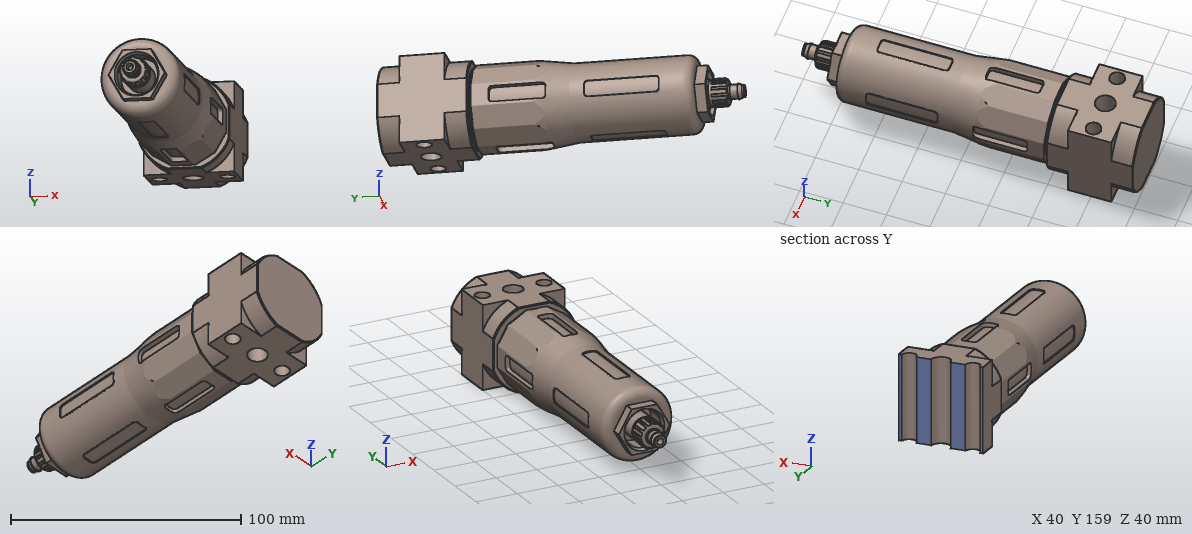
import cadquery as cq
import math


head_width = 40.0
head_length = 40.0
head_diameter = 43.0
head_edge_chamfer = 0.5
arm_width = 20.0
arm_center = 20.0
port_diameter = 9.0
mount_hole_diameter = 6.8
mount_hole_spacing = 30.2

shoulder_diameter = 36.0
shoulder_length = 0.5
neck_diameter = 34.7

grip_start = 41.5
grip_across_flats = 37.8
grip_diameter = 39.1
grip_side_count = 12
taper_start = 68.8
taper_end = 84.7
bowl_diameter = 34.7
bowl_end = 139.1
bowl_end_fillet = 4.1

window_width = 7.3
window_corner_radius = 1.6
window_floor_diameter = 33.5
upper_window_start = 49.3
upper_window_end = 74.4
lower_window_start = 91.3
lower_window_end = 124.3
window_count = 4

hexagon_across_flats = 21.6
hexagon_end = 143.9
recess_mouth_diameter = 19.5
recess_diameter = 18.0
recess_mouth_length = 1.9
recess_depth = 11.1

drain_base_diameter = 12.2
drain_neck_diameter = 11.1
knob_start = 145.3
knob_end = 152.2
knob_diameter = 12.5
knob_end_fillet = 1.7
rib_count = 12
rib_width = 1.1
collar_diameter = 7.2
collar_end = 153.0
stem_diameter = 6.4
barb_start = 156.3
barb_diameter = 7.2
barb_end = 158.2
tip_diameter = 5.5
drain_end = 159.0
drain_bore_diameter = 3.0
drain_bore_depth = 4.8


def revolve_about_y(profile):
    """Revolve (radius, distance from the rear face) points about the Y axis."""
    points = [(radius, -distance) for radius, distance in profile]
    return cq.Workplane("XY").polyline(points).close().revolve(360, (0, 0, 0), (0, 1, 0))


def cylinder(diameter, start, end):
    radius = diameter / 2
    return revolve_about_y([(0, start), (radius, start), (radius, end), (0, end)])


def turned_about_y(shape, angle):
    return shape.rotate((0, 0, 0), (0, 1, 0), angle)


def prism(side_count, across_flats, start, end):
    """A regular prism along Y with flats facing +Z and -Z."""
    corner_diameter = across_flats / math.cos(math.pi / side_count)
    blank = cq.Workplane("XZ", origin=(0, -start, 0)).polygon(side_count, corner_diameter).extrude(end - start)
    flat_angle = 90 - 180 / side_count if side_count % 4 == 0 else 0
    return turned_about_y(blank, flat_angle)


def make_head():
    center = (0, -arm_center, 0)
    drum = cylinder(head_diameter, 0, head_length)
    envelope = cq.Workplane("XY").box(head_width, head_length, head_width)
    drum = drum.intersect(envelope.translate((0, -head_length / 2, 0)))
    drum = drum.faces("<Y or >Y").chamfer(head_edge_chamfer)
    arms = cq.Workplane("XY").box(head_width, arm_width, head_width).translate(center)
    return drum.union(arms)


def drill_head(body):
    through = head_width
    face = cq.Workplane("XY", origin=(0, -arm_center, -through / 2))
    port = face.circle(port_diameter / 2).extrude(through)
    mounts = face.pushPoints([(-mount_hole_spacing / 2, 0), (mount_hole_spacing / 2, 0)])
    return body.cut(port).cut(mounts.circle(mount_hole_diameter / 2).extrude(through))


def make_bowl():
    bowl_radius = bowl_diameter / 2
    grip_radius = grip_diameter / 2
    blank = revolve_about_y([
        (0, grip_start),
        (grip_radius, grip_start),
        (grip_radius, taper_start),
        (bowl_radius, taper_end),
        (bowl_radius, bowl_end),
        (0, bowl_end),
    ])
    blank = blank.faces("<Y").edges().fillet(bowl_end_fillet)
    grip = blank.intersect(prism(grip_side_count, grip_across_flats, grip_start, bowl_end))
    for index in range(window_count):
        angle = 360 / window_count * index
        grip = grip.cut(turned_about_y(window(upper_window_start, upper_window_end), angle))
        grip = grip.cut(turned_about_y(window(lower_window_start, lower_window_end), angle))
    return grip


def window(start, end):
    """A rounded slot on the +Z side, with a cylindrical floor about the Y axis."""
    cutter = cq.Workplane("XY").rect(window_width, end - start).extrude(head_width / 2)
    cutter = cutter.edges("|Z").fillet(window_corner_radius)
    cutter = cutter.translate((0, -(start + end) / 2, 0))
    return cutter.cut(cylinder(window_floor_diameter, start, end))


def make_hexagon():
    recess_floor = hexagon_end - recess_depth
    recess = revolve_about_y([
        (0, recess_floor),
        (recess_diameter / 2, recess_floor),
        (recess_diameter / 2, hexagon_end - recess_mouth_length),
        (recess_mouth_diameter / 2, hexagon_end),
        (0, hexagon_end),
    ])
    return prism(6, hexagon_across_flats, bowl_end, hexagon_end), recess


def make_housing():
    hexagon, recess = make_hexagon()
    housing = drill_head(make_head())
    shoulder = cylinder(shoulder_diameter, head_length, head_length + shoulder_length)
    neck = cylinder(neck_diameter, head_length, grip_start)
    return housing.union(shoulder).union(neck).union(make_bowl()).union(hexagon).cut(recess)


def make_knob():
    blank = cylinder(knob_diameter, knob_start, knob_end).faces("<Y").edges().fillet(knob_end_fillet)
    length = knob_end - knob_start
    knob = cylinder(drain_neck_diameter, knob_start, knob_end)
    rib = cq.Workplane("XY").box(rib_width, length, knob_diameter / 2)
    rib = rib.translate((0, -(knob_start + knob_end) / 2, knob_diameter / 4))
    for index in range(rib_count):
        knob = knob.union(turned_about_y(rib, 360 / rib_count * index))
    return knob.intersect(blank)


def make_drain():
    spindle = revolve_about_y([
        (0, hexagon_end - recess_depth),
        (drain_base_diameter / 2, hexagon_end - recess_depth),
        (drain_base_diameter / 2, hexagon_end),
        (drain_neck_diameter / 2, hexagon_end),
        (drain_neck_diameter / 2, knob_start),
        (collar_diameter / 2, knob_start),
        (collar_diameter / 2, collar_end),
        (stem_diameter / 2, collar_end),
        (stem_diameter / 2, barb_start),
        (barb_diameter / 2, barb_start),
        (tip_diameter / 2, barb_end),
        (tip_diameter / 2, drain_end),
        (0, drain_end),
    ])
    bore = cylinder(drain_bore_diameter, drain_end - drain_bore_depth, drain_end)
    return spindle.union(make_knob()).cut(bore)


housing = make_housing()
drain = make_drain()

result = cq.Compound.makeCompound([housing.val(), drain.val()])